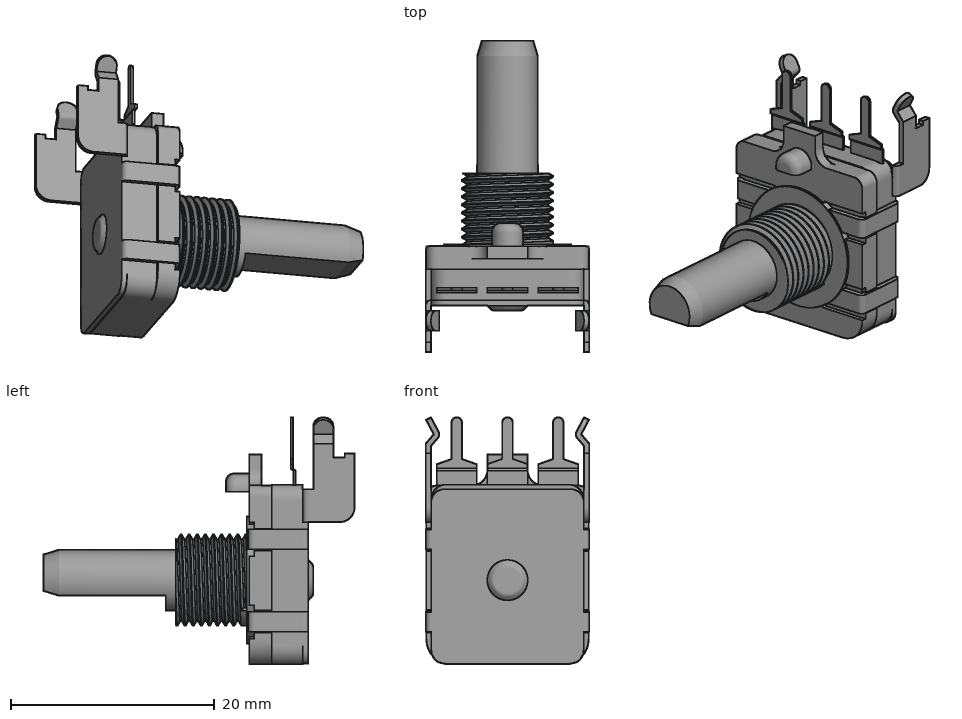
import cadquery as cq
import math


shaft_radius = 3.0
shaft_tip_y = 20.23
shaft_taper_length = 1.53
shaft_taper_inset = 0.45
shaft_flat_z = -1.53
shaft_flat_start_y = 8.2
bushing_radius = 4.5
bushing_end_y = 7.2
thread_pitch = 0.8
thread_root_radius = 4.05
thread_start_y = 0.43
thread_start_angle = 138.0
groove_half_width = 0.352
groove_root_half_width = 0.1
groove_overcut = 0.05

body_bottom_z = -8.3
housing_half_width = 8.0
housing_top_z = 9.3
housing_back_y = -2.23
housing_top_corner_radius = 1.05
housing_bottom_corner_radius = 2.5
base_half_width = 7.5
base_top_z = 9.4
base_back_y = -5.25
base_top_corner_radius = 1.5
base_bottom_corner_radius = 1.77
plate_thickness = 0.55
plate_back_y = base_back_y - plate_thickness
plate_bottom_z = -8.2
plate_top_z = 8.95
plate_corner_radius = 1.3
rivet_radius = 2.0
rivet_height = 0.5
rivet_round_radius = 0.5

clip_outer_x = base_half_width + plate_thickness
disk_radius = 6.27
disk_front_y = 0.25
clip_front_y = 0.1
cover_thickness = 0.58
cover_back_y = clip_front_y - cover_thickness
clip_width = 1.95
clip_centers_z = (4.0, -4.1)
clip_slot_width = 2.2
clip_slot_shift = 0.045
recess_width = 3.3
recess_corner_radius = 0.18

tab_half_width = 2.0
tab_top_z = 12.35
tab_thickness = 1.22
tab_flare_radius = 1.5
pin_radius = 1.53
pin_center_z = 8.97
pin_bottom_z = 8.65
pin_length = 2.3
pin_round_radius = 0.83

terminal_spacing = 5.0
terminal_width = 3.98
terminal_shoulder_z = 11.38
terminal_neck_z = 11.9
terminal_pin_width = 1.05
terminal_front_y = -4.07
terminal_thickness = 0.25
terminal_bend_z = 10.75
terminal_embed = 0.1
top_z = 16.0

bracket_bottom_z = 5.7
bracket_back_y = -10.37
bracket_corner_radius = 1.47
bracket_bend_radius = 0.52
leg_front_y = -6.3
leg_width = 2.0
notch_back_y = -9.4
notch_bottom_z = 12.05
heel_top_z = 12.45
bend_z = 13.4
knee_x = 7.25
knee_z = 14.32
leaf_tilt = 28.0


def block(x_range, y_range, z_range):
    """Box spanning the given coordinate ranges."""
    sizes = [high - low for low, high in (x_range, y_range, z_range)]
    corner = cq.Vector(x_range[0], y_range[0], z_range[0])
    return cq.Workplane(cq.Solid.makeBox(*sizes, corner))


def layer(half_width, z_range, y_range, top_radius, bottom_radius):
    """Slab of the stack with rounded corners along Y."""
    slab = block((-half_width, half_width), y_range, z_range)
    slab = slab.edges("|Y and >Z").fillet(top_radius)
    return slab.edges("|Y and <Z").fillet(bottom_radius)


def rod(radius, y_range):
    """Cylinder on the shaft axis."""
    start = cq.Vector(0, y_range[0], 0)
    return cq.Workplane(cq.Solid.makeCylinder(radius, y_range[1] - y_range[0], start, cq.Vector(0, 1, 0)))


def make_shaft():
    """D-shaped shaft with a tapered tip; the flat tapers with the rest."""
    shaft = rod(shaft_radius, (0, shaft_tip_y)).faces(">Y").chamfer(shaft_taper_length, shaft_taper_inset)
    flat_cut = (
        cq.Workplane("YZ")
        .polyline([
            (shaft_flat_start_y, shaft_flat_z),
            (shaft_tip_y - shaft_taper_length, shaft_flat_z),
            (shaft_tip_y, shaft_flat_z + shaft_taper_inset),
            (shaft_tip_y, -shaft_radius),
            (shaft_flat_start_y, -shaft_radius),
        ])
        .close()
        .extrude(shaft_radius, both=True)
    )
    return shaft.cut(flat_cut)


def make_bushing():
    """Cylinder with a right-handed V groove that runs out through its free end."""
    bushing = cq.Workplane("XY").circle(bushing_radius).extrude(bushing_end_y)
    groove_length = bushing_end_y - thread_start_y + thread_pitch
    path = cq.Wire.makeHelix(thread_pitch, groove_length, thread_root_radius)
    slope = (groove_half_width - groove_root_half_width) / (bushing_radius - thread_root_radius)
    mouth_radius = bushing_radius + groove_overcut
    mouth_half_width = groove_half_width + slope * groove_overcut
    groove = (
        cq.Workplane("XZ")
        .moveTo(thread_root_radius, -groove_root_half_width)
        .lineTo(mouth_radius, -mouth_half_width)
        .lineTo(mouth_radius, mouth_half_width)
        .lineTo(thread_root_radius, groove_root_half_width)
        .close()
        .sweep(cq.Workplane(path), isFrenet=True)
        .rotate((0, 0, 0), (0, 0, 1), thread_start_angle)
        .translate((0, 0, thread_start_y))
    )
    groove = groove.intersect(cq.Workplane("XY").circle(2 * bushing_radius).extrude(bushing_end_y))
    return bushing.cut(groove).rotate((0, 0, 0), (1, 0, 0), -90)


def make_housing():
    """Front housing with recesses and slots for the clips."""
    housing = layer(
        housing_half_width,
        (body_bottom_z, housing_top_z),
        (housing_back_y, 0),
        housing_top_corner_radius,
        housing_bottom_corner_radius,
    )
    for center_z in clip_centers_z:
        recess_z = (center_z - recess_width / 2, center_z + recess_width / 2)
        slot_center_z = center_z - math.copysign(clip_slot_shift, center_z)
        slot_z = (slot_center_z - clip_slot_width / 2, slot_center_z + clip_slot_width / 2)
        corner_z = max(map(abs, recess_z)) - recess_corner_radius
        recess_inner_x = math.sqrt(disk_radius**2 - corner_z**2)
        recess = block((recess_inner_x, housing_half_width), (cover_back_y, 0), recess_z)
        recess = recess.edges("|Y and <X").fillet(recess_corner_radius)
        slot = block((base_half_width, housing_half_width), (housing_back_y, 0), slot_z)
        notch = recess.union(slot)
        housing = housing.cut(notch).cut(notch.mirror("YZ"))
    return housing


def make_base():
    """Terminal base and back plate."""
    base = layer(
        base_half_width,
        (body_bottom_z, base_top_z),
        (base_back_y, housing_back_y),
        base_top_corner_radius,
        base_bottom_corner_radius,
    )
    plate = layer(
        base_half_width,
        (plate_bottom_z, plate_top_z),
        (plate_back_y, base_back_y),
        plate_corner_radius,
        plate_corner_radius,
    )
    return base.union(plate)


def make_rivet():
    """Rivet head with a 45 degree cone blending into a flat end."""
    blend = rivet_round_radius * math.sin(math.pi / 4)
    blend_depth = rivet_round_radius * (1 - math.cos(math.pi / 4))
    cone_depth = rivet_height - blend_depth
    cone_radius = rivet_radius - cone_depth
    end_y = plate_back_y - rivet_height
    half_blend_angle = math.pi / 8
    flat_radius = cone_radius - blend
    arc_middle = (
        flat_radius + rivet_round_radius * math.sin(half_blend_angle),
        end_y + rivet_round_radius * (1 - math.cos(half_blend_angle)),
    )
    return (
        cq.Workplane("XY")
        .moveTo(0, base_back_y)
        .lineTo(rivet_radius, base_back_y)
        .lineTo(rivet_radius, plate_back_y)
        .lineTo(cone_radius, plate_back_y - cone_depth)
        .threePointArc(arc_middle, (flat_radius, end_y))
        .lineTo(0, end_y)
        .close()
        .revolve(360, (0, 0, 0), (0, 1, 0))
    )


def make_cover():
    """Cover disk with two straps whose ends fold back over the sides as clips."""
    cover = rod(disk_radius, (cover_back_y, disk_front_y))
    for center_z in clip_centers_z:
        z_range = (center_z - clip_width / 2, center_z + clip_width / 2)
        strap = block((-clip_outer_x, clip_outer_x), (plate_back_y, clip_front_y), z_range)
        strap = strap.edges("|Z").fillet(plate_thickness)
        cover = cover.union(strap)
    return cover


def make_tab():
    """Upright tab with concave flares where it meets the housing top."""
    foot = tab_half_width + tab_flare_radius
    flare_top_z = housing_top_z + tab_flare_radius
    dip = tab_flare_radius * (1 - math.sin(math.pi / 4))
    return (
        cq.Workplane("XZ")
        .moveTo(-foot, housing_top_z)
        .threePointArc((-tab_half_width - dip, housing_top_z + dip), (-tab_half_width, flare_top_z))
        .lineTo(-tab_half_width, tab_top_z)
        .lineTo(tab_half_width, tab_top_z)
        .lineTo(tab_half_width, flare_top_z)
        .threePointArc((tab_half_width + dip, housing_top_z + dip), (foot, housing_top_z))
        .close()
        .extrude(tab_thickness)
    )


def make_pin():
    """Locating pin with a flat underside and a rounded end."""
    pin = (
        cq.Workplane("XZ", origin=(0, -tab_thickness, 0))
        .moveTo(-pin_radius, pin_bottom_z)
        .lineTo(-pin_radius, pin_center_z)
        .threePointArc((0, pin_center_z + pin_radius), (pin_radius, pin_center_z))
        .lineTo(pin_radius, pin_bottom_z)
        .close()
        .extrude(-tab_thickness - pin_length)
    )
    return pin.faces(">Y").edges("not <Z").fillet(pin_round_radius)


def make_terminal(center_x):
    """Sheet-metal terminal: jogged in thickness, shouldered and narrowed to a rounded pin."""
    bottom_z = base_top_z - terminal_embed
    half_width = terminal_width / 2
    half_pin = terminal_pin_width / 2
    outline = (
        cq.Workplane("XZ")
        .moveTo(-half_width, bottom_z)
        .lineTo(-half_width, terminal_shoulder_z)
        .lineTo(-half_pin, terminal_neck_z)
        .lineTo(-half_pin, top_z - half_pin)
        .threePointArc((0, top_z), (half_pin, top_z - half_pin))
        .lineTo(half_pin, terminal_neck_z)
        .lineTo(half_width, terminal_shoulder_z)
        .lineTo(half_width, bottom_z)
        .close()
        .extrude(-base_back_y)
    )
    middle_y = terminal_front_y - terminal_thickness
    back_y = middle_y - terminal_thickness
    upper_bend_z = terminal_bend_z + terminal_thickness
    sheet = (
        cq.Workplane("YZ")
        .polyline([
            (back_y, bottom_z),
            (back_y, terminal_bend_z),
            (middle_y, upper_bend_z),
            (middle_y, top_z),
            (terminal_front_y, top_z),
            (terminal_front_y, upper_bend_z),
            (middle_y, terminal_bend_z),
            (middle_y, bottom_z),
        ])
        .close()
        .extrude(half_width, both=True)
    )
    return sheet.intersect(outline).translate((center_x, 0, 0))


def make_bracket():
    """Bracket on the +X side: a flat blade whose leg kinks inward and then back outward."""
    leg_back_y = leg_front_y - leg_width
    tilt = math.radians(leaf_tilt)
    lean = math.atan2(clip_outer_x - knee_x, knee_z - bend_z)
    inner_bend_z = bend_z - plate_thickness * math.tan(lean / 2)

    def knee_point(angle):
        """Point on the inner face, one sheet thickness from the knee."""
        return (knee_x - plate_thickness * math.cos(angle), knee_z + plate_thickness * math.sin(angle))

    sheet = (
        cq.Workplane("XZ")
        .moveTo(clip_outer_x, bracket_bottom_z)
        .lineTo(clip_outer_x, bend_z)
        .lineTo(knee_x, knee_z)
        .lineTo(*knee_point(tilt))
        .threePointArc(knee_point((tilt - lean) / 2), knee_point(-lean))
        .lineTo(base_half_width, inner_bend_z)
        .lineTo(base_half_width, bracket_bottom_z)
        .close()
        .extrude(-bracket_back_y)
    )
    side = (
        cq.Workplane("YZ")
        .polyline([
            (base_back_y, bracket_bottom_z),
            (base_back_y, plate_top_z),
            (leg_front_y, plate_top_z),
            (leg_front_y, top_z),
            (leg_back_y, top_z),
            (leg_back_y, notch_bottom_z),
            (notch_back_y, notch_bottom_z),
            (notch_back_y, heel_top_z),
            (bracket_back_y, heel_top_z),
            (bracket_back_y, bracket_bottom_z),
        ])
        .close()
        .extrude(clip_outer_x)
        .edges("|X and <Y and <Z")
        .fillet(bracket_corner_radius)
    )
    blade = sheet.intersect(side).edges("|Z and >Y and >X").fillet(bracket_bend_radius)

    leaf_length = (top_z - knee_z - plate_thickness * math.sin(tilt)) / math.cos(tilt)
    half_leg = leg_width / 2
    straight = leaf_length - half_leg
    leaf_plane = cq.Plane(
        origin=(knee_x, (leg_front_y + leg_back_y) / 2, knee_z),
        xDir=(0, -1, 0),
        normal=(-math.cos(tilt), 0, math.sin(tilt)),
    )
    leaf = (
        cq.Workplane(leaf_plane)
        .moveTo(-half_leg, 0)
        .lineTo(half_leg, 0)
        .lineTo(half_leg, straight)
        .threePointArc((0, leaf_length), (-half_leg, straight))
        .close()
        .extrude(plate_thickness)
    )
    return blade.union(leaf)


bracket = make_bracket()
result = make_base()
for piece in (
    make_housing(),
    make_cover(),
    make_bushing(),
    make_shaft(),
    make_rivet(),
    make_tab(),
    make_pin(),
    bracket,
    bracket.mirror("YZ"),
):
    result = result.union(piece)
for position in (-1, 0, 1):
    result = result.union(make_terminal(position * terminal_spacing))